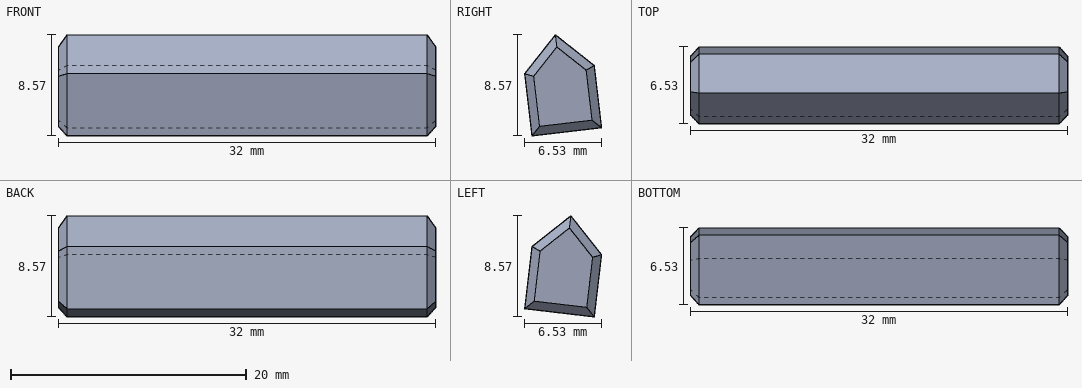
import cadquery as cq

length = 32.0
width = 5.95
wall_height = 5.3
ridge_height = wall_height + width / 2
end_chamfer = 0.75
roll_angle = 6.7

half_width = width / 2

bar = (
    cq.Workplane("YZ")
    .polyline([
        (-half_width, 0),
        (half_width, 0),
        (half_width, wall_height),
        (0, ridge_height),
        (-half_width, wall_height),
    ])
    .close()
    .extrude(length / 2, both=True)
)

bar = bar.faces("<X or >X").chamfer(end_chamfer)

result = bar.rotate((0, 0, 0), (1, 0, 0), roll_angle)